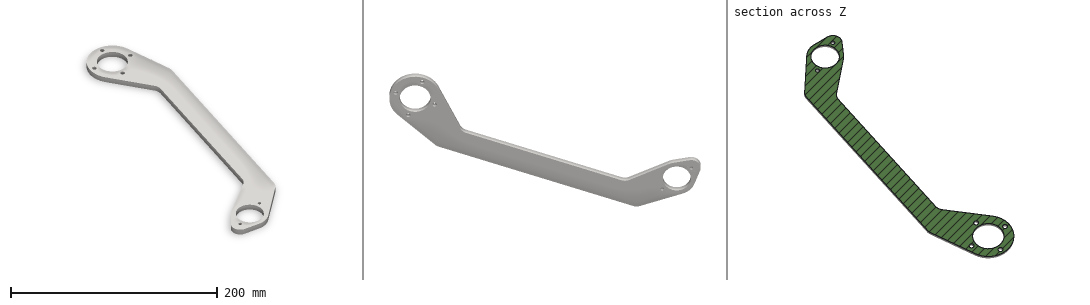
import cadquery as cq
import math

length = 313.0
width = 69.0
thickness = 6.0

large_end_radius = 25.0
large_bore_diameter = 30.0
large_bolt_diameter = 4.5
large_bolt_circle_radius = 20.0
large_bolt_count = 4

small_end_radius = 18.0
small_bore_diameter = 27.2
small_bolt_diameter = 3.5
small_bolt_circle_radius = 18.5
small_bolt_angles = (120, 300)
tip_radius = 9.0

bar_width = 23.8
outer_left_x = 38.0
outer_right_x = 243.8
inner_slope_angle = 45
corner_fillet = 10.0

bar_top = width - large_end_radius
bar_bottom = bar_top - bar_width
large_centre = (0.0, 0.0)
tip_offset = small_bolt_circle_radius * math.cos(math.radians(small_bolt_angles[1]))
small_centre = (length - large_end_radius - tip_radius - tip_offset, 0.0)


def polar(centre, radius, degrees):
    angle = math.radians(degrees)
    return (centre[0] + radius * math.cos(angle), centre[1] + radius * math.sin(angle))


def tangent_point(point, centre, radius, side):
    """Touch point on a circle of a line from an outside point; side +1 is counterclockwise."""
    dx = point[0] - centre[0]
    dy = point[1] - centre[1]
    direction = math.degrees(math.atan2(dy, dx))
    spread = math.degrees(math.acos(radius / math.hypot(dx, dy)))
    return polar(centre, radius, direction + side * spread)


def disc(centre, radius):
    return cq.Workplane("XY").center(*centre).circle(radius).extrude(thickness)


def plate(points):
    return cq.Workplane("XY").polyline(points).close().extrude(thickness)


def make_arm():
    """Bar and sloping arms, running tangent into both end circles."""
    outer_left = (outer_left_x, bar_top)
    outer_right = (outer_right_x, bar_top)
    large_touch = polar(large_centre, large_end_radius, inner_slope_angle - 90)
    small_touch = polar(small_centre, small_end_radius, -90 - inner_slope_angle)
    slope = math.tan(math.radians(inner_slope_angle))
    inner_left = (large_touch[0] + (bar_bottom - large_touch[1]) / slope, bar_bottom)
    inner_right = (small_touch[0] - (bar_bottom - small_touch[1]) / slope, bar_bottom)
    arm = plate([
        outer_left,
        outer_right,
        tangent_point(outer_right, small_centre, small_end_radius, -1),
        small_centre,
        small_touch,
        inner_right,
        inner_left,
        large_touch,
        large_centre,
        tangent_point(outer_left, large_centre, large_end_radius, 1),
    ])
    for corner in (outer_left, outer_right, inner_left, inner_right):
        edge = cq.selectors.NearestToPointSelector((*corner, thickness / 2))
        arm = arm.edges("|Z").edges(edge).fillet(corner_fillet)
    return arm


def make_tip():
    """Rounded lobe around the lower small bolt hole, tangent to the small end."""
    direction = small_bolt_angles[1]
    centre = polar(small_centre, small_bolt_circle_radius, direction)
    spread = math.degrees(math.acos((small_end_radius - tip_radius) / small_bolt_circle_radius))
    web = plate([
        polar(small_centre, small_end_radius, direction - spread),
        polar(centre, tip_radius, direction - spread),
        centre,
        polar(centre, tip_radius, direction + spread),
        polar(small_centre, small_end_radius, direction + spread),
        small_centre,
    ])
    return web.union(disc(centre, tip_radius))


result = make_arm().union(disc(large_centre, large_end_radius))
result = result.union(disc(small_centre, small_end_radius)).union(make_tip())

result = result.cut(disc(large_centre, large_bore_diameter / 2))
result = result.cut(disc(small_centre, small_bore_diameter / 2))
for index in range(large_bolt_count):
    hole_centre = polar(large_centre, large_bolt_circle_radius, index * 360 / large_bolt_count)
    result = result.cut(disc(hole_centre, large_bolt_diameter / 2))
for bolt_angle in small_bolt_angles:
    hole_centre = polar(small_centre, small_bolt_circle_radius, bolt_angle)
    result = result.cut(disc(hole_centre, small_bolt_diameter / 2))